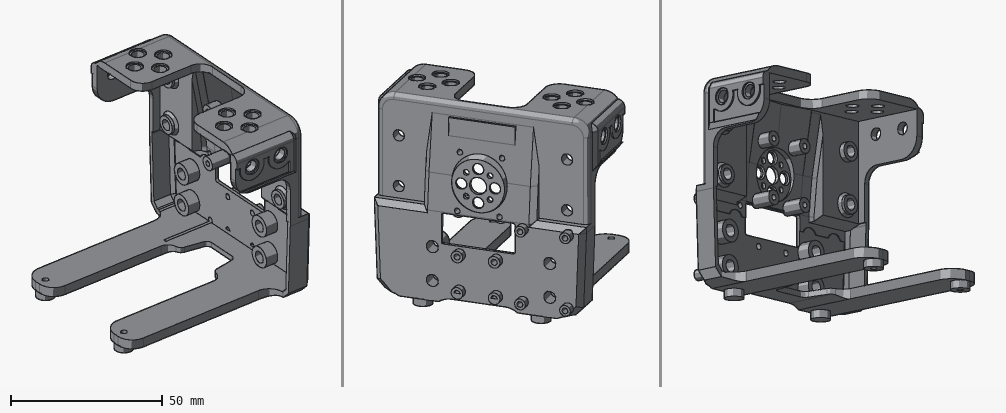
import cadquery as cq
import math


total_height = 72.42
total_depth = 72.5
total_width = 78.0
foot_height = 2.7
pin_boss_height = 2.7
roof_top = total_height - foot_height
arm_tip = total_depth - pin_boss_height
pod_half_width = total_width / 2

side_half_width = 37.7
side_half_width_bottom = 36.7
side_wall = 2.0
lower_side_wall = 1.4
roof_thickness = 3.1
roof_corner_radius = 6.0
roof_front = 33.2
shell_bottom = 1.5
shell_corner_height = 4.4
shell_bottom_half_width = 33.9
wall_front = 9.7
upper_back = 4.2
upper_inner = 6.8
upper_edge_radius = 2.0
lower_inner = 1.5
lower_top = 33.0
lower_chamfer = 2.0
taper_start = lower_top - lower_chamfer
inner_chamfer = 1.2
inner_corner = 1.9
cavity_slope_bottom = 30.0
cavity_slope_top = 31.9
floor_top = 3.5

cheek_bottom = 50.6
cheek_inner_radius = 5.5
cheek_outer_radius = 7.0
pod_bottom = 51.1
pod_back = 7.4
pod_top = 67.2
pod_top_radius = 2.6
pod_bevel = 1.8
scallop_depth = 0.6
scallop_radius = 5.0
scallop_back = 10.9
scallop_tooth_top = 62.3
scallop_end_top = 57.2

roof_slot_half_width = 12.75
roof_slot_radius = 5.0
roof_front_radius = 5.0

screw_hole = 4.2
screw_recess = 5.7
screw_recess_depth = 0.6
screw_spacing = 12.0
cheek_hole_height = 61.1
cheek_hole_ys = (-14.7, -14.7 - screw_spacing)
roof_pattern_x = 23.9
roof_pattern_y = -20.7

arm_inner = 14.0
arm_outer = 28.0
arm_middle = (arm_inner + arm_outer) / 2
arm_tip_radius = 6.0
arm_flare_start = 15.5
foot_diameter = 6.6
foot_tip_inset = 3.3
rear_foot_y = -3.5
arm_hole = 2.2
notch_back = 8.9
notch_flare_start = 23.5
notch_flare_end = (10.8, -19.7)
notch_tip_middle = (9.4, -19.1)
notch_tip_end = (8.7, -17.8)
notch_side_end = (7.4, -10.6)
notch_flat_half_width = 5.4
pad_inner = 9.5
pad_inner_middle = (12.2, 1.0)
pad_outer_middle = (30.8, 1.1)

bulge_half_width = 20.0
bulge_chamfer = 2.0
bulge_bottom = 30.0
bulge_foot = 32.0
bulge_knee = 45.0
bulge_knee_back = 1.3
bulge_top = 65.0
crown_half_width = 11.8
crown_back = 3.2
crown_top = 64.5
bulge_cavity_half_width = 18.6
bulge_cavity_chamfer = 1.2
bulge_cavity_knee = 2.9
bulge_cavity_top = 65.8
ridge_half_width = 13.0
ridge_top = 66.6
ridge_foot_depth = 0.3
ridge_knee_depth = 0.5
ridge_top_depth = 1.6
horn_height = 43.1
horn_radius = 9.0
horn_floor = 1.2
horn_back = 0.15
horn_rim_radius = 9.4
horn_rim_base_radius = 10.4
horn_rim_depth = 2.6
horn_bore = 6.0
horn_screw_circle = 6.0
horn_screw_hole = 3.9
horn_screw_sink = 4.9
horn_pin_hole = 2.0

servo_post_offsets = (7.5, 10.0)
servo_post_diameter = 5.0
servo_post_front = 8.9
servo_post_upper_root = 3.0
servo_post_hole = 1.9
tall_boss_xs = (-25.4, 16.3)
tall_boss_zs = (7.2, 7.2 + screw_spacing)
tall_boss_diameter = 7.7
tall_boss_front = 5.9
collar_x = 29.9
collar_zs = (37.2, 55.2)
collar_base_diameter = 8.4
collar_diameter = 6.6
collar_cone_height = 1.0
collar_front = 8.8
collar_hole = 3.9
pin_boss_xs = (-31.9, -15.9)
pin_boss_zs = (4.3, 30.1)
pin_boss_diameter = 3.8
pin_hole = 2.0
pin_bore_front = 20.2
short_boss_x = 6.6
short_boss_zs = (4.9, 17.8)
short_boss_diameter = 4.1
short_boss_height = 2.4
short_hole = 2.1
half_hole_bottom = 4.9

window_half_width = 13.1
window_bottom = 20.7
window_top = 31.6
window_radius = 0.8
relief_depth = 0.3
relief_top = 26.4
relief_arc_xs = (-29.9, -17.9, 17.9, 29.9)
relief_arc_radius = 3.2
relief_arc_z = 25.2

BEYOND = 5.0
OVERLAP = 1.0


def box(x0, x1, y0, y1, z0, z1):
    return cq.Workplane("XY").box(x1 - x0, y1 - y0, z1 - z0, centered=False).translate((x0, y0, z0))


def rod_y(diameter, x, z, y_back, y_front):
    """Cylinder along Y from y_back forward (towards -Y) to y_front."""
    return cq.Workplane("XZ", origin=(x, y_back, z)).circle(diameter / 2).extrude(y_back - y_front)


def cone(start_diameter, end_diameter, height, point, direction):
    solid = cq.Solid.makeCone(
        start_diameter / 2, end_diameter / 2, height, cq.Vector(*point), cq.Vector(*direction)
    )
    return cq.Workplane(obj=solid)


def both_sides(body):
    return body.union(body.mirror("YZ"))


def mirrored_points(half):
    """Closed outline from its +X half, listed from one end to the other."""
    return half + [(-x, other) for x, other in reversed(half)]


def upper_shell():
    corner_z = roof_top - roof_corner_radius
    body = (
        cq.Workplane("XZ", origin=(0, -upper_back, 0))
        .moveTo(-side_half_width, taper_start)
        .lineTo(-side_half_width, corner_z)
        .radiusArc((-side_half_width + roof_corner_radius, roof_top), roof_corner_radius)
        .lineTo(side_half_width - roof_corner_radius, roof_top)
        .radiusArc((side_half_width, corner_z), roof_corner_radius)
        .lineTo(side_half_width, taper_start)
        .close()
        .extrude(roof_front - upper_back)
    )
    return body.faces(">Y").edges("not <Z").fillet(upper_edge_radius)


def lower_shell():
    outline = mirrored_points([
        (shell_bottom_half_width, shell_bottom),
        (side_half_width_bottom, shell_corner_height),
        (side_half_width, taper_start),
        (side_half_width, lower_top),
    ])
    body = cq.Workplane("XZ").polyline(outline).close().extrude(wall_front)
    return body.faces(">Y").edges("not <Z").chamfer(lower_chamfer)


def bulge_body(side_profile, half_width, chamfer):
    """Side profile (y, z) spread across X, with bevels along its sloped back edges."""
    body = (
        cq.Workplane("YZ", origin=(-half_width, 0, 0))
        .polyline(side_profile)
        .close()
        .extrude(2 * half_width)
    )
    sloped_back = cq.selectors.BoxSelector(
        (-BEYOND - half_width, -upper_inner + OVERLAP, bulge_bottom), (BEYOND + half_width, BEYOND, bulge_top)
    )
    return body.edges("<X or >X").edges(sloped_back).edges("not |Y").chamfer(chamfer)


def bulge_outside():
    profile = [
        (0, bulge_bottom), (0, bulge_foot), (-bulge_knee_back, bulge_knee), (-upper_back, bulge_top),
        (-upper_inner - BEYOND, bulge_top), (-upper_inner - BEYOND, bulge_bottom),
    ]
    crown = box(
        -crown_half_width, crown_half_width, -upper_inner, -crown_back, bulge_knee, crown_top
    )
    rim = cone(
        2 * horn_rim_base_radius, 2 * horn_rim_radius, horn_rim_depth + horn_back,
        (0, -horn_rim_depth, horn_height), (0, 1, 0),
    )
    body = bulge_body(profile, bulge_half_width, bulge_chamfer).union(crown).union(rim)
    return body.cut(main_cavity())


def bulge_cavity():
    """Hollow of the bulge, slightly roof-shaped along its centre line."""
    front = -upper_inner - BEYOND
    profile = [
        (-lower_inner, bulge_bottom - OVERLAP), (-lower_inner, bulge_foot), (-bulge_cavity_knee, bulge_knee),
        (-upper_inner, bulge_cavity_top), (front, bulge_cavity_top), (front, bulge_bottom - OVERLAP),
    ]
    body = bulge_body(profile, bulge_cavity_half_width, bulge_cavity_chamfer)
    sections = (
        (bulge_foot, lower_inner, ridge_foot_depth),
        (bulge_knee, bulge_cavity_knee, ridge_knee_depth),
        (ridge_top, upper_inner, ridge_top_depth),
    )
    wires = []
    for z, y, depth in sections:
        corners = [
            (-ridge_half_width, front), (-ridge_half_width, -y), (0, -y + depth),
            (ridge_half_width, -y), (ridge_half_width, front),
        ]
        wires.append(cq.Wire.makePolygon([cq.Vector(x, v, z) for x, v in corners], close=True))
    return body.union(cq.Workplane(obj=cq.Solid.makeLoft(wires, True)))


def pods():
    """Raised pads on the outside of the cheeks."""
    body = box(-pod_half_width, -side_half_width + side_wall, -roof_front, -pod_back, pod_bottom, pod_top)
    body = body.faces("<X").edges(">Z").fillet(pod_top_radius)
    body = body.faces("<X").edges("<Z or >Y").chamfer(pod_bevel, pod_half_width - side_half_width)
    lowered = box(
        -pod_half_width - BEYOND, -pod_half_width + scallop_depth,
        -roof_front - BEYOND, -scallop_back, pod_bottom + pod_bevel, scallop_tooth_top,
    )
    lowered = lowered.cut(
        box(-pod_half_width - BEYOND, 0, cheek_hole_ys[0], 0, scallop_end_top, roof_top)
    )
    for y in cheek_hole_ys:
        land = (
            cq.Workplane("YZ", origin=(-pod_half_width - BEYOND, y, cheek_hole_height))
            .circle(scallop_radius)
            .extrude(2 * BEYOND)
        )
        lowered = lowered.cut(land)
    return both_sides(body.cut(lowered))


def main_cavity():
    """Inside of the upper shell, open to the front."""
    x = side_half_width - side_wall
    return box(
        -x, x, -roof_front - BEYOND, -upper_inner, cavity_slope_top, roof_top - roof_thickness
    )


def lower_cavity():
    """Inside of the lower tray, with its sloped ceiling and bevelled back corners."""
    top_x = side_half_width - lower_side_wall
    bottom_x = side_half_width_bottom - lower_side_wall
    outline = mirrored_points([
        (bottom_x - inner_corner, floor_top), (bottom_x, floor_top + inner_corner),
        (top_x, taper_start), (top_x, cavity_slope_top),
    ])
    body = cq.Workplane("XZ", origin=(0, -lower_inner, 0)).polyline(outline).close().extrude(roof_front)
    body = body.faces(">Y").edges("not (<Z or >Z)").chamfer(inner_chamfer)
    ceiling = (
        cq.Workplane("YZ", origin=(-side_half_width, 0, 0))
        .polyline([
            (0, cavity_slope_bottom), (-lower_inner, cavity_slope_bottom),
            (-upper_inner, cavity_slope_top), (-upper_inner, roof_top), (0, roof_top),
        ])
        .close()
        .extrude(2 * side_half_width)
    )
    return body.cut(ceiling)


def lower_relief():
    """Shallow step in the lower wall with round lobes along its top edge."""
    back = -lower_inner + relief_depth
    edge = side_half_width_bottom - lower_side_wall - inner_chamfer
    bevel = inner_corner + (math.sqrt(2) - 1) * inner_chamfer
    top_share = (relief_top - shell_corner_height) / (taper_start - shell_corner_height)
    top_edge = edge + top_share * (side_half_width - side_half_width_bottom)
    outline = mirrored_points([
        (edge - bevel, floor_top), (edge, floor_top + bevel), (top_edge, relief_top),
    ])
    body = cq.Workplane("XZ", origin=(0, back, 0)).polyline(outline).close().extrude(relief_depth)
    for x in relief_arc_xs:
        body = body.union(
            rod_y(2 * relief_arc_radius, x, relief_arc_z, back, -lower_inner)
        )
    return body


def side_opening():
    """Space in front of the side walls and below the cheeks."""
    reach = pod_half_width + BEYOND
    body = box(-reach, reach, -roof_front - BEYOND, -wall_front, -BEYOND, cheek_bottom)
    return body.edges("|X and >Y and >Z").fillet(cheek_inner_radius)


def cheek_corner():
    """Material outside the rounded lower front corner of the cheeks."""
    reach = pod_half_width + BEYOND
    r = cheek_outer_radius
    return (
        cq.Workplane("YZ", origin=(-reach, 0, 0))
        .moveTo(-roof_front, cheek_bottom)
        .lineTo(-roof_front + r, cheek_bottom)
        .radiusArc((-roof_front, cheek_bottom + r), r)
        .close()
        .extrude(2 * reach)
    )


def roof_slot():
    """U-shaped opening of the roof with rounded front corners."""
    x = roof_slot_half_width
    r = roof_front_radius
    z0 = roof_top - roof_thickness
    slot = box(-x, x, -roof_front - BEYOND, -upper_inner, z0, roof_top)
    slot = slot.edges("|Z and >Y").fillet(roof_slot_radius)
    corner = (
        cq.Workplane("XY", origin=(0, 0, z0))
        .moveTo(x, -roof_front)
        .lineTo(x + r, -roof_front)
        .radiusArc((x, -roof_front + r), r)
        .close()
        .extrude(roof_thickness)
    )
    return slot.union(both_sides(corner))


def half_floor_outline():
    """Plan of the floor and arm on the +X side."""
    flare = arm_flare_start - wall_front
    return (
        cq.Workplane("XY")
        .moveTo(0, 0)
        .lineTo(shell_bottom_half_width - math.sqrt(2) * lower_chamfer, 0)
        .lineTo(shell_bottom_half_width, -lower_chamfer)
        .lineTo(shell_bottom_half_width, -wall_front)
        .radiusArc((arm_outer, -wall_front - flare), -flare)
        .lineTo(arm_outer, -arm_tip + arm_tip_radius)
        .radiusArc((arm_outer - arm_tip_radius, -arm_tip), arm_tip_radius)
        .lineTo(arm_inner + arm_tip_radius, -arm_tip)
        .radiusArc((arm_inner, -arm_tip + arm_tip_radius), arm_tip_radius)
        .lineTo(arm_inner, -notch_flare_start)
        .tangentArcPoint(notch_flare_end, relative=False)
        .threePointArc(notch_tip_middle, notch_tip_end)
        .lineTo(*notch_side_end)
        .tangentArcPoint((notch_flat_half_width, -notch_back), relative=False)
        .lineTo(0, -notch_back)
        .close()
    )


def floor_and_arms():
    bottom_profile = (
        cq.Workplane("XZ")
        .moveTo(0, floor_top)
        .lineTo(0, shell_bottom)
        .lineTo(pad_inner, shell_bottom)
        .threePointArc(pad_inner_middle, (arm_inner, 0))
        .lineTo(arm_outer, 0)
        .threePointArc(pad_outer_middle, (shell_bottom_half_width, shell_bottom))
        .lineTo(shell_bottom_half_width, floor_top)
        .close()
        .extrude(arm_tip)
    )
    body = half_floor_outline().extrude(floor_top).intersect(bottom_profile)
    for y in (rear_foot_y, -arm_tip + foot_tip_inset):
        foot = (
            cq.Workplane("XY", origin=(arm_middle, y, -foot_height))
            .circle(foot_diameter / 2)
            .extrude(foot_height)
        )
        body = body.union(foot)
    bore = (
        cq.Workplane("XY", origin=(arm_middle, -arm_tip + foot_tip_inset, -foot_height))
        .circle(arm_hole / 2)
        .extrude(foot_height + floor_top)
    )
    return both_sides(body.cut(bore))


def recessed_hole(point, direction, depth):
    """Screw hole with a shallow flat recess at its mouth, starting at point."""
    start = cq.Vector(*point)
    axis = cq.Vector(*direction)
    bore = cq.Solid.makeCylinder(screw_hole / 2, depth, start, axis)
    recess = cq.Solid.makeCylinder(screw_recess / 2, screw_recess_depth, start, axis)
    return cq.Workplane(obj=bore.fuse(recess))


def cheek_and_roof_holes():
    tools = cq.Workplane("XY")
    depth = pod_half_width - side_half_width + side_wall + OVERLAP
    for y in cheek_hole_ys:
        tools = tools.union(recessed_hole((-pod_half_width, y, cheek_hole_height), (1, 0, 0), depth))
    half = screw_spacing / 2
    for dx, dy in ((half, 0), (-half, 0), (0, half), (0, -half)):
        point = (-roof_pattern_x + dx, roof_pattern_y + dy, roof_top)
        tools = tools.union(recessed_hole(point, (0, 0, -1), roof_thickness + OVERLAP))
    return both_sides(tools)


def add_horn_seat(body):
    body = body.cut(rod_y(2 * horn_radius, 0, horn_height, -horn_floor, -upper_inner))
    body = body.cut(rod_y(horn_bore, 0, horn_height, BEYOND, -upper_inner))
    sink = (horn_screw_sink - horn_screw_hole) / 2
    for quarter in range(4):
        angle = quarter * math.pi / 2
        x = horn_screw_circle * math.cos(angle)
        z = horn_height + horn_screw_circle * math.sin(angle)
        body = body.cut(rod_y(horn_screw_hole, x, z, BEYOND, -upper_inner))
        body = body.cut(cone(horn_screw_sink, horn_screw_hole, sink, (x, -horn_floor, z), (0, 1, 0)))
        diagonal = angle + math.pi / 4
        x = horn_screw_circle * math.cos(diagonal)
        z = horn_height + horn_screw_circle * math.sin(diagonal)
        body = body.cut(rod_y(horn_pin_hole, x, z, BEYOND, -upper_inner))
    return body


def add_window(body):
    window = box(-window_half_width, window_half_width, -upper_inner, BEYOND, window_bottom, window_top)
    return body.cut(window.edges("|Y").fillet(window_radius))


def add_servo_posts(body):
    dx, dz = servo_post_offsets
    rows = ((horn_height - dz, -lower_inner / 2), (horn_height + dz, -servo_post_upper_root))
    for x in (-dx, dx):
        for z, root_y in rows:
            body = body.union(rod_y(servo_post_diameter, x, z, root_y, -servo_post_front))
            body = body.cut(rod_y(servo_post_hole, x, z, BEYOND, -servo_post_front))
    return body


def add_tall_bosses(body):
    for x in tall_boss_xs:
        for z in tall_boss_zs:
            body = body.union(rod_y(tall_boss_diameter, x, z, -lower_inner / 2, -tall_boss_front))
            body = body.cut(rod_y(screw_hole, x, z, BEYOND, -tall_boss_front))
    return body


def add_collars(body):
    for x in (-collar_x, collar_x):
        for z in collar_zs:
            body = body.union(rod_y(collar_diameter, x, z, -upper_back - OVERLAP, -collar_front))
            if (x, z) != (collar_x, collar_zs[1]):
                skirt = cone(
                    collar_base_diameter, collar_diameter, collar_cone_height,
                    (x, -upper_inner, z), (0, -1, 0),
                )
                body = body.union(skirt)
            body = body.cut(rod_y(collar_hole, x, z, BEYOND, -collar_front))
    return body


def add_back_bosses(body):
    for x in pin_boss_xs:
        for z in pin_boss_zs:
            body = body.union(rod_y(pin_boss_diameter, x, z, pin_boss_height, -lower_inner / 2))
            body = body.cut(rod_y(pin_hole, x, z, pin_boss_height, -pin_bore_front))
    for x in (-short_boss_x, short_boss_x):
        for z in short_boss_zs:
            body = body.union(rod_y(short_boss_diameter, x, z, short_boss_height, -lower_inner / 2))
            hole = rod_y(short_hole, x, z, short_boss_height, -upper_inner)
            if z == short_boss_zs[0]:
                reach = short_hole
                hole = hole.intersect(
                    box(x - reach, x + reach, -upper_inner, BEYOND, half_hole_bottom, z + reach)
                )
            body = body.cut(hole)
    return body


def build():
    body = upper_shell().union(lower_shell()).union(pods())
    body = body.union(bulge_outside())
    body = body.cut(main_cavity()).cut(lower_cavity()).cut(bulge_cavity()).cut(lower_relief())
    body = body.cut(side_opening()).cut(cheek_corner()).cut(roof_slot())
    body = body.cut(box(-arm_inner, arm_inner, -wall_front, -notch_back, 0, floor_top))
    body = body.union(floor_and_arms())
    body = body.cut(cheek_and_roof_holes())
    body = add_horn_seat(body)
    body = add_window(body)
    body = add_servo_posts(body)
    body = add_tall_bosses(body)
    body = add_collars(body)
    return add_back_bosses(body)


result = build()